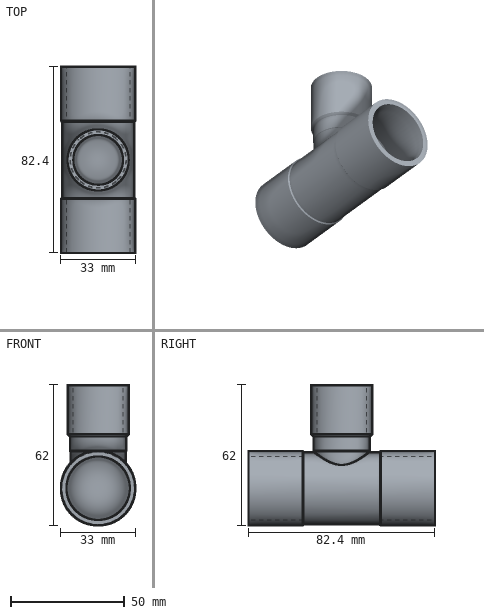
import cadquery as cq

run_length = 82.4
run_socket_diameter = 33.0
run_bore_diameter = 28.0
run_body_diameter = 32.0
run_socket_length = 23.9

branch_height = 45.5
branch_socket_diameter = 27.0
branch_bore_diameter = 22.0
branch_socket_length = 21.6
branch_collar_diameter = 25.0
branch_neck_diameter = 24.5
collar_base_height = 16.6

run_taper = (run_socket_diameter - run_body_diameter) / 2
socket_taper = (branch_socket_diameter - branch_collar_diameter) / 2
collar_taper = (branch_collar_diameter - branch_neck_diameter) / 2


def make_run():
    """Solid run: a slim body between two wider sockets."""
    half_length = run_length / 2
    socket_base = half_length - run_socket_length
    taper_end = socket_base - run_taper
    socket_radius = run_socket_diameter / 2
    body_radius = run_body_diameter / 2
    profile = [
        (0, -half_length),
        (socket_radius, -half_length),
        (socket_radius, -socket_base),
        (body_radius, -taper_end),
        (body_radius, taper_end),
        (socket_radius, socket_base),
        (socket_radius, half_length),
        (0, half_length),
    ]
    return cq.Workplane("XY").polyline(profile).close().revolve(360, (0, 0), (0, 1))


def make_branch():
    """Solid branch: neck, collar and socket stacked from the run axis upwards."""
    socket_base = branch_height - branch_socket_length
    socket_radius = branch_socket_diameter / 2
    collar_radius = branch_collar_diameter / 2
    neck_radius = branch_neck_diameter / 2
    profile = [
        (0, 0),
        (neck_radius, 0),
        (neck_radius, collar_base_height - collar_taper),
        (collar_radius, collar_base_height),
        (collar_radius, socket_base - socket_taper),
        (socket_radius, socket_base),
        (socket_radius, branch_height),
        (0, branch_height),
    ]
    return cq.Workplane("XZ").polyline(profile).close().revolve(360, (0, 0), (0, 1))


def make_run_bore(side):
    """Blind socket bore entering the run end on the given Y side (+1 or -1)."""
    end = cq.Vector(0, side * run_length / 2, 0)
    inward = cq.Vector(0, -side, 0)
    return cq.Solid.makeCylinder(run_bore_diameter / 2, run_socket_length, end, inward)


def make_branch_bore():
    """Blind socket bore entering the branch from above."""
    end = cq.Vector(0, 0, branch_height)
    inward = cq.Vector(0, 0, -1)
    return cq.Solid.makeCylinder(branch_bore_diameter / 2, branch_socket_length, end, inward)


result = make_run().union(make_branch())
for side in (-1, 1):
    result = result.cut(make_run_bore(side))
result = result.cut(make_branch_bore())